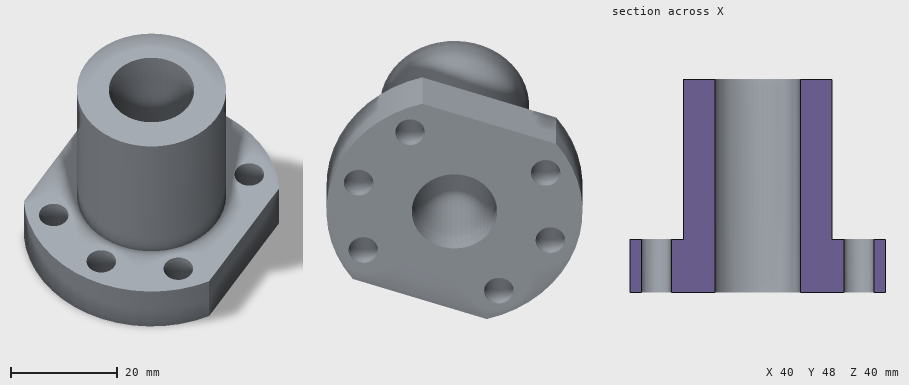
import cadquery as cq

flange_diameter = 48.0
flange_width = 40.0
flange_thickness = 10.0

total_height = 40.0
body_diameter = 28.0
bore_diameter = 16.0

hole_diameter = 5.5
hole_circle_diameter = 38.0
hole_spacing_angle = 45.0
hole_group_angles = (90.0, 270.0)


def make_flange():
    disc = cq.Workplane("XY").circle(flange_diameter / 2).extrude(flange_thickness)
    between_flats = (
        cq.Workplane("XY").rect(flange_width, flange_diameter).extrude(flange_thickness)
    )
    return disc.intersect(between_flats)


def make_body():
    return cq.Workplane("XY").circle(body_diameter / 2).extrude(total_height)


def make_bore():
    return cq.Workplane("XY").circle(bore_diameter / 2).extrude(total_height)


def make_mounting_holes(group_angle):
    """Three through holes centred on the given direction."""
    return (
        cq.Workplane("XY")
        .polarArray(
            hole_circle_diameter / 2,
            group_angle - hole_spacing_angle,
            hole_spacing_angle,
            3,
            fill=False,
        )
        .circle(hole_diameter / 2)
        .extrude(flange_thickness)
    )


result = make_flange().union(make_body()).cut(make_bore())
for group_angle in hole_group_angles:
    result = result.cut(make_mounting_holes(group_angle))